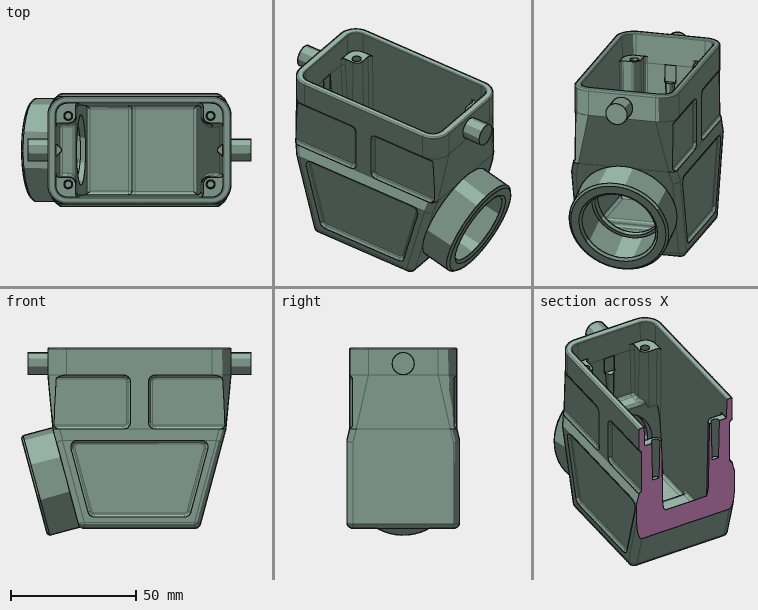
import cadquery as cq
import math

rim_top = 71.9
rim_base = 61.1
waist = 39.6
shoulder = 35.15

rim_half_x = 36.5
rim_half_y = 21.4
rim_corner = 7.5
rim_edge = 0.6
waist_half_x = 34.5
waist_corner = 2.7
lower_half_y = 22.5
lower_round = 2.5
lean = 15
lean_slope = math.tan(math.radians(lean))
base_half_x = waist_half_x - waist * lean_slope

panel_depth = 1.2
panel_slant = 45
panel_foot_round = 0.9
panel_corner = 2.75
rib_half = 3.6
lower_panel_half_x = 28.2
lower_panel_bottom = 4.6

mouth_half_x = 33.4
mouth_half_y = 18.9
mouth_corner = 4.6
mouth_edge = 0.4
wall_draft = 1
draft_slope = math.tan(math.radians(wall_draft))
boss_top = 62.7
end_wall_kink = 59.95
end_wall_foot = 31.85
right_kink = 40.3
right_floor = 5.8
left_floor = 3.0
floor_step_x = -3.0
shelf_height = 38.4
shelf_edge_x = -25.35
left_wall_foot_x = -20.9
inner_round = 1.3

boss_inner_x = 25.4
boss_inner_y = 10.9
boss_nose = 2.75
screw_x = 28.4
screw_y = 13.6
screw_mouth_diameter = 3.6
screw_tip_diameter = 2.75
screw_depth = 18.3

nub_top = 52.8
nub_nose_x = 31.1
nub_nose_half = 1.3
nub_nose_length = 0.8
nub_root_half = 2.3

collar_face_x = -41.9
collar_face_z = 16.9
collar_diameter = 41.2
collar_length = 13.7
collar_chamfer = 0.9
bore_diameter = 30.5
bore_depth = 15.4
bore_chamfer = 1.0
opening_diameter = 28.0
opening_reach = 27.5

pin_diameter = 8.8
pin_height = 65.7
pin_end_x = 44.5

edge_margin = 0.1
corner_reach = 0.9


def rounded_rectangle(height, half_x, half_y, corner):
    sketch = cq.Sketch().rect(2 * half_x, 2 * half_y).vertices().fillet(corner)
    return cq.Workplane("XY", origin=(0, 0, height)).placeSketch(sketch)


def prism_along_y(points, half_y):
    return cq.Workplane("XZ").polyline(points).close().extrude(half_y, both=True)


def prism_along_x(points, half_x):
    return cq.Workplane("YZ").polyline(points).close().extrude(half_x, both=True)


def rim():
    band = rounded_rectangle(rim_base, rim_half_x, rim_half_y, rim_corner).extrude(rim_top - rim_base)
    return band.faces(">Z").edges().fillet(rim_edge)


def middle():
    top = cq.Sketch().rect(2 * rim_half_x, 2 * rim_half_y).vertices().fillet(rim_corner)
    bottom = cq.Sketch().rect(2 * waist_half_x, 2 * rim_half_y).vertices().fillet(waist_corner)
    lower_end = bottom.moved(cq.Location(cq.Vector(0, 0, waist)))
    upper_end = top.moved(cq.Location(cq.Vector(0, 0, rim_base)))
    return cq.Workplane("XY").placeSketch(lower_end, upper_end).loft()


def lower_box():
    side = prism_along_y(
        [(-base_half_x, 0), (base_half_x, 0), (waist_half_x, waist), (-waist_half_x, waist)],
        lower_half_y,
    )
    cross = prism_along_x(
        [
            (-lower_half_y, 0),
            (lower_half_y, 0),
            (lower_half_y, shoulder),
            (rim_half_y, waist),
            (-rim_half_y, waist),
            (-lower_half_y, shoulder),
        ],
        rim_half_x,
    )
    return side.intersect(cross).edges("(not(>Z or #Z or |X)) or <Z").fillet(lower_round)


def panel_cut(outline, face_half_y):
    cut = (
        cq.Workplane("XZ", origin=(0, -face_half_y, 0))
        .placeSketch(outline)
        .extrude(-panel_depth, taper=panel_slant)
        .faces(">Y")
        .edges()
        .fillet(panel_foot_round)
    )
    return cut.union(cut.mirror("XZ"))


def upper_panel_cut(side):
    height = rim_base - waist
    length = 2 * rim_half_x
    outline = (
        cq.Sketch()
        .push([(side * (rib_half + length / 2), waist + height / 2)])
        .rect(length, height)
        .reset()
        .vertices()
        .fillet(panel_corner)
    )
    return panel_cut(outline, rim_half_y)


def lower_panel_cut():
    bottom_half_x = lower_panel_half_x - (shoulder - lower_panel_bottom) * lean_slope
    outline = (
        cq.Sketch()
        .polygon(
            [
                (-lower_panel_half_x, shoulder),
                (-bottom_half_x, lower_panel_bottom),
                (bottom_half_x, lower_panel_bottom),
                (lower_panel_half_x, shoulder),
                (-lower_panel_half_x, shoulder),
            ]
        )
        .vertices()
        .fillet(panel_corner)
    )
    return panel_cut(outline, lower_half_y)


def collar_plane():
    lean_angle = math.radians(lean)
    return cq.Plane(
        origin=(collar_face_x, 0, collar_face_z),
        xDir=(0, 1, 0),
        normal=(-math.cos(lean_angle), 0, -math.sin(lean_angle)),
    )


def collar():
    barrel = cq.Workplane(collar_plane()).circle(collar_diameter / 2).extrude(-collar_length)
    mouth_edge = cq.NearestToPointSelector((collar_face_x, 0, collar_face_z))
    return barrel.faces(mouth_edge).edges().chamfer(collar_chamfer)


def cable_bore():
    bore = cq.Workplane(collar_plane()).circle(bore_diameter / 2).extrude(-bore_depth)
    opening = cq.Workplane(collar_plane()).circle(opening_diameter / 2).extrude(-opening_reach)
    lead_in = (
        cq.Workplane(collar_plane())
        .circle(bore_diameter / 2 + bore_chamfer)
        .extrude(-bore_chamfer, taper=45)
    )
    return bore.union(opening).union(lead_in)


def inner_half_x(height):
    return mouth_half_x - (rim_top - height) * draft_slope


def inner_half_y(height):
    return mouth_half_y - (rim_top - height) * draft_slope


def mouth():
    opening = rounded_rectangle(rim_top, mouth_half_x, mouth_half_y, mouth_corner)
    return opening.extrude(boss_top - rim_top, taper=wall_draft)


def screw_bosses():
    size_x = rim_half_x - boss_inner_x + boss_nose
    size_y = rim_half_y - boss_inner_y + boss_nose
    bosses = cq.Workplane("XY")
    for side_x in (-1, 1):
        for side_y in (-1, 1):
            centre_x = side_x * (boss_inner_x + size_x / 2)
            centre_y = side_y * (boss_inner_y + size_y / 2)
            outline = (
                cq.Sketch()
                .push([(centre_x, centre_y)])
                .rect(size_x, size_y)
                .reset()
                .vertices()
                .fillet(boss_nose)
            )
            boss = (
                cq.Workplane("XY", origin=(0, 0, boss_top))
                .placeSketch(outline)
                .extrude(-boss_top, taper=-wall_draft)
            )
            bosses = bosses.union(boss)
    return bosses


def screw_holes():
    slant = math.degrees(math.atan((screw_mouth_diameter - screw_tip_diameter) / 2 / screw_depth))
    return (
        cq.Workplane("XY", origin=(0, 0, boss_top))
        .rect(2 * screw_x, 2 * screw_y, forConstruction=True)
        .vertices()
        .circle(screw_mouth_diameter / 2)
        .extrude(-screw_depth, taper=slant)
    )


def chamber_blank():
    right_foot_x = end_wall_foot - (right_kink - right_floor) * lean_slope
    lengthwise = prism_along_y(
        [
            (-inner_half_x(boss_top), boss_top),
            (inner_half_x(boss_top), boss_top),
            (inner_half_x(end_wall_kink), end_wall_kink),
            (end_wall_foot, right_kink),
            (right_foot_x, right_floor),
            (floor_step_x, right_floor),
            (floor_step_x, left_floor),
            (left_wall_foot_x, left_floor),
            (shelf_edge_x, shelf_height),
            (-end_wall_foot, shelf_height),
            (-inner_half_x(end_wall_kink), end_wall_kink),
        ],
        rim_half_y,
    )
    crosswise = prism_along_x(
        [
            (-inner_half_y(left_floor), left_floor),
            (inner_half_y(left_floor), left_floor),
            (inner_half_y(boss_top), boss_top),
            (-inner_half_y(boss_top), boss_top),
        ],
        rim_half_x,
    )
    return lengthwise.intersect(crosswise)


def nub_grooves():
    return (
        cq.Workplane("XY", origin=(0, 0, nub_top))
        .rect(2 * inner_half_x(boss_top), 2 * nub_root_half)
        .extrude(end_wall_kink - nub_top)
    )


def nubs():
    nose_start_x = nub_nose_x + nub_nose_length
    nub = (
        cq.Workplane("XY", origin=(0, 0, right_floor))
        .moveTo(rim_half_x, -nub_root_half)
        .lineTo(inner_half_x(nub_top), -nub_root_half)
        .lineTo(nose_start_x, -nub_nose_half)
        .threePointArc((nub_nose_x, 0), (nose_start_x, nub_nose_half))
        .lineTo(inner_half_x(nub_top), nub_root_half)
        .lineTo(rim_half_x, nub_root_half)
        .close()
        .extrude(nub_top - right_floor)
    )
    return nub.union(nub.mirror("YZ"))


def edges_in_box(low, high):
    return cq.selectors.BoxSelector(low, high)


def edges_across(centre_x, height):
    return edges_in_box(
        (centre_x - edge_margin, -edge_margin, height - edge_margin),
        (centre_x + edge_margin, edge_margin, height + edge_margin),
    )


def wall_corner_edges():
    below_boss_top = boss_top - edge_margin
    shelf_low = shelf_height - edge_margin
    shelf_high = shelf_height + edge_margin
    selected = edges_across(-end_wall_foot, shelf_height)
    for side in (-1, 1):
        boss_ends = sorted((side * (boss_inner_y - corner_reach), side * (boss_inner_y + corner_reach)))
        chamber_sides = sorted((side * inner_half_y(left_floor), side * mouth_half_y))
        selected += edges_in_box(
            (-end_wall_foot, boss_ends[0], shelf_low),
            (-boss_inner_x, boss_ends[1], shelf_high),
        )
        for end in (-1, 1):
            end_walls = sorted((end * screw_x, end * mouth_half_x))
            boss_faces = sorted((end * (boss_inner_x - corner_reach), end * (boss_inner_x + corner_reach)))
            selected += edges_in_box(
                (end_walls[0], boss_ends[0], right_floor),
                (end_walls[1], boss_ends[1], below_boss_top),
            )
            selected += edges_in_box(
                (boss_faces[0], chamber_sides[0], right_floor),
                (boss_faces[1], chamber_sides[1], below_boss_top),
            )
    return selected


def chamber():
    floor_edges = edges_in_box(
        (-base_half_x, -mouth_half_y, 0),
        (base_half_x, mouth_half_y, right_floor + edge_margin),
    )
    shelf_rim = edges_across(shelf_edge_x, shelf_height)
    space = chamber_blank().edges(floor_edges + shelf_rim).fillet(inner_round)
    space = space.cut(screw_bosses())
    space = space.edges(wall_corner_edges()).fillet(inner_round)
    return space.union(nub_grooves()).cut(nubs())


def make_housing():
    shell = rim().union(middle()).union(lower_box()).union(collar())
    for side in (-1, 1):
        shell = shell.cut(upper_panel_cut(side))
    shell = shell.cut(lower_panel_cut())
    hollow = chamber().union(mouth())
    hollow_shell = shell.cut(hollow)
    inner_rim = edges_in_box(
        (-mouth_half_x - edge_margin, -mouth_half_y - edge_margin, rim_top - edge_margin),
        (mouth_half_x + edge_margin, mouth_half_y + edge_margin, rim_top + edge_margin),
    )
    hollow_shell = hollow_shell.edges(inner_rim).fillet(mouth_edge)
    return hollow_shell.cut(cable_bore()).cut(screw_holes())


def make_pin(side):
    return (
        cq.Workplane("YZ", origin=(side * rim_half_x, 0, pin_height))
        .circle(pin_diameter / 2)
        .extrude(side * (pin_end_x - rim_half_x))
    )


housing = make_housing()
pins = [make_pin(side) for side in (-1, 1)]

result = cq.Compound.makeCompound([housing.val(), *[pin.val() for pin in pins]])